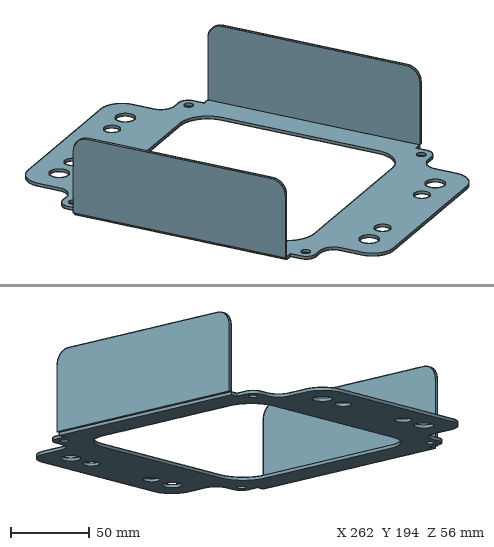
import cadquery as cq

LENGTH = 262.0
WIDTH = 194.0
HEIGHT = 56.0
SHEET = 2.0

STRIP_LENGTH = 152.0
STRIP_WIDTH = WIDTH - 2 * SHEET
TAB_SPAN_X = 181.5
TAB_SPAN_Y = 179.2
TAB_RADIUS = 7.0
EAR_WIDTH = 134.1
EAR_RADIUS = 15.0
NECK_RADIUS = 10.0
SELECTION_MARGIN = 0.3

WINDOW_LENGTH = STRIP_LENGTH
WINDOW_WIDTH = 150.0
WINDOW_RADIUS = 20.0

TAB_HOLE_DIAMETER = 6.0
TAB_HOLE_X = 83.3
TAB_HOLE_Y = 82.3
EAR_HOLE_X = 111.0
OUTER_EAR_HOLE_DIAMETER = 13.0
OUTER_EAR_HOLE_Y = 47.2
INNER_EAR_HOLE_DIAMETER = 11.0
INNER_EAR_HOLE_Y = 28.0

WALL_HEIGHT = HEIGHT - SHEET
WALL_RADIUS = 10.0


def plate_block(length, width, corner_radius=0.0):
    """Centred rectangle of plate thickness, with rounded corners if asked for."""
    block = cq.Workplane("XY").rect(length, width).extrude(SHEET)
    if corner_radius > 0:
        block = block.edges("|Z").fillet(corner_radius)
    return block


def mirrored_holes(x, y, diameter):
    """Four plate holes at (+-x, +-y)."""
    return (
        cq.Workplane("XY")
        .rect(2 * x, 2 * y, forConstruction=True)
        .vertices()
        .circle(diameter / 2)
        .extrude(SHEET)
    )


def make_base_plate():
    ears = plate_block(LENGTH, EAR_WIDTH, EAR_RADIUS)
    tabs = plate_block(TAB_SPAN_X, TAB_SPAN_Y, TAB_RADIUS)
    plate = ears.union(tabs)

    reach_x = TAB_SPAN_X / 2 + SELECTION_MARGIN
    reach_y = EAR_WIDTH / 2 + SELECTION_MARGIN
    neck_corners = cq.selectors.BoxSelector((-reach_x, -reach_y, 0), (reach_x, reach_y, SHEET))
    plate = plate.edges("|Z").edges(neck_corners).fillet(NECK_RADIUS)

    plate = plate.union(plate_block(STRIP_LENGTH, STRIP_WIDTH))
    plate = plate.cut(plate_block(WINDOW_LENGTH, WINDOW_WIDTH, WINDOW_RADIUS))
    plate = plate.cut(mirrored_holes(TAB_HOLE_X, TAB_HOLE_Y, TAB_HOLE_DIAMETER))
    plate = plate.cut(mirrored_holes(EAR_HOLE_X, OUTER_EAR_HOLE_Y, OUTER_EAR_HOLE_DIAMETER))
    return plate.cut(mirrored_holes(EAR_HOLE_X, INNER_EAR_HOLE_Y, INNER_EAR_HOLE_DIAMETER))


def make_side_wall(side):
    """Upright wall just outside the plate edge; side is -1 (-Y) or +1 (+Y)."""
    wall = cq.Workplane("XY").box(STRIP_LENGTH, SHEET, WALL_HEIGHT, centered=(True, True, False))
    wall = wall.edges("|Y and >Z").fillet(WALL_RADIUS)
    return wall.translate((0, side * (WIDTH - SHEET) / 2, SHEET))


base_plate = make_base_plate()
side_walls = [make_side_wall(side) for side in (-1, 1)]

result = cq.Compound.makeCompound([base_plate.val(), *[wall.val() for wall in side_walls]])